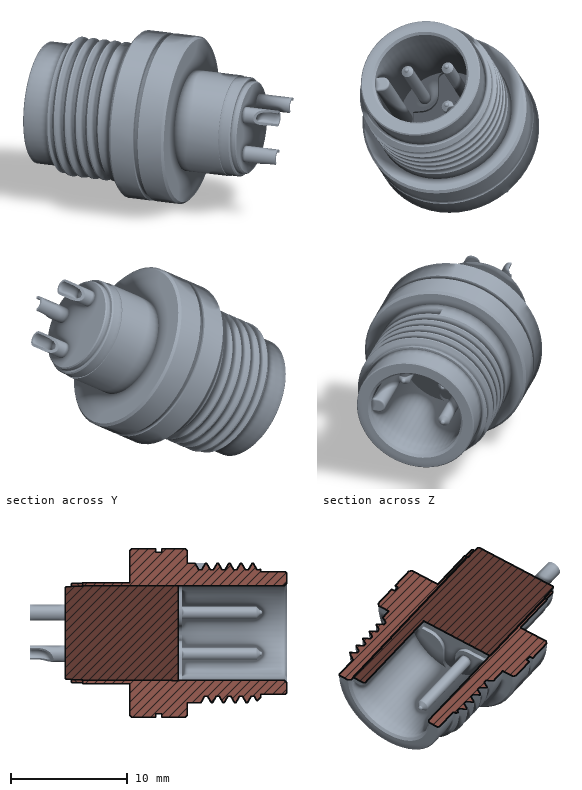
import cadquery as cq
import math


bore_radius = 4.05
bore_chamfer = 0.2
nose_radius = 5.27
nose_chamfer = 0.1
nose_length = 2.2
flange_radius = 7.25
flange_start = 8.5
flange_end = 13.5
flange_chamfer = 0.2
flange_groove_start = 10.75
flange_groove_width = 0.45
flange_groove_depth = 0.3
neck_radius = 4.36
shell_length = 17.5

thread_radius = 6.0
thread_pitch = 1.0
thread_depth = 0.54
thread_root_width = thread_pitch / 4
thread_half_angle = math.radians(30)
thread_lead_radius = 5.5
thread_end = 7.42
thread_turns = 6
thread_overcut = 0.05

ring_radius = 4.29
ring_length = 1.0
ring_chamfer = 0.1

carrier_front = 9.0
carrier_end = 19.0
carrier_chamfer = 0.1
carrier_tail_radius = 4.0
recess_depth = 0.3
recess_arm_width = 1.29
recess_corner_radius = 1.4
recess_tip_radius = 0.6
key_front = 0.5
key_tip_offset = 2.87
key_width = 1.24
key_edge_radius = 0.15

pin_offset = 2.5 * math.sin(math.radians(45))
pin_radius = 0.51
pin_tip = 2.1
pin_tip_cone_length = 0.3
pin_tip_radius = 0.2
shank_radius = 0.7
shank_start = 15.0
shank_end = 22.0
cup_bore_radius = 0.5
cup_bore_start = 20.0
cup_ramp_radius = 2.0
cup_ramp_end = 21.53
pin_places = [
    (pin_offset, pin_offset, -45),
    (-pin_offset, pin_offset, 180),
    (-pin_offset, -pin_offset, -45),
]


def cylinder(start, end, radius):
    """Cylinder on the X axis."""
    return cq.Workplane("YZ", origin=(start, 0, 0)).circle(radius).extrude(end - start)


def revolved(profile):
    """Solid turned about X from (x, radius) points."""
    return cq.Workplane("XY").polyline(profile).close().revolve(360, (0, 0, 0), (1, 0, 0))


def make_thread_groove():
    """Helical groove with flat root, ending on the +Z side at thread_end."""
    root_radius = thread_radius - thread_depth
    outer_radius = thread_radius + thread_overcut
    half_root = thread_root_width / 2
    half_mouth = half_root + (outer_radius - root_radius) * math.tan(thread_half_angle)
    length = thread_turns * thread_pitch
    path = cq.Wire.makeHelix(thread_pitch, length, thread_radius)
    groove = (
        cq.Workplane("XZ")
        .polyline([
            (root_radius, -half_root),
            (outer_radius, -half_mouth),
            (outer_radius, half_mouth),
            (root_radius, half_root),
        ])
        .close()
        .sweep(cq.Workplane(path), isFrenet=True)
    )
    groove = groove.rotate((0, 0, 0), (1, 1, 1), 120)
    groove = groove.rotate((0, 0, 0), (1, 0, 0), 90)
    return groove.translate((thread_end - length, 0, 0))


def make_shell():
    groove_end = flange_groove_start + flange_groove_width
    groove_radius = flange_radius - flange_groove_depth
    body = revolved([
        (0, bore_radius + bore_chamfer),
        (0, nose_radius - nose_chamfer),
        (nose_chamfer, nose_radius),
        (nose_length, nose_radius),
        (nose_length, thread_lead_radius),
        (nose_length + thread_radius - thread_lead_radius, thread_radius),
        (flange_start, thread_radius),
        (flange_start, flange_radius - flange_chamfer),
        (flange_start + flange_chamfer, flange_radius),
        (flange_groove_start, flange_radius),
        (flange_groove_start, groove_radius),
        (groove_end, groove_radius),
        (groove_end, flange_radius),
        (flange_end - flange_chamfer, flange_radius),
        (flange_end, flange_radius - flange_chamfer),
        (flange_end, neck_radius),
        (shell_length, neck_radius),
        (shell_length, bore_radius),
        (bore_chamfer, bore_radius),
    ])
    return body.cut(make_thread_groove())


def make_ring():
    ring_end = shell_length + ring_length
    return revolved([
        (shell_length, carrier_tail_radius),
        (shell_length, ring_radius),
        (ring_end - ring_chamfer, ring_radius),
        (ring_end, ring_radius - ring_chamfer),
        (ring_end, carrier_tail_radius),
    ])


def make_key():
    """Coding key on the +Y side of the bore, with a round tip toward the axis."""
    length = carrier_front - key_front
    straight_start = key_tip_offset + key_width / 2
    key = (
        cq.Workplane("YZ", origin=(key_front, 0, 0))
        .moveTo(nose_radius, -key_width / 2)
        .lineTo(straight_start, -key_width / 2)
        .threePointArc((key_tip_offset, 0), (straight_start, key_width / 2))
        .lineTo(nose_radius, key_width / 2)
        .close()
        .extrude(length)
        .faces("<X")
        .fillet(key_edge_radius)
    )
    return key.intersect(cylinder(key_front, carrier_front, bore_radius))


def make_cross_recess():
    """Cross with rounded inner corners; three arms reach the rim and the +Y arm stops at the key."""
    def arm_pair(length_y, length_z):
        return (
            cq.Workplane("YZ", origin=(carrier_front, 0, 0))
            .rect(length_y, length_z)
            .extrude(recess_depth)
        )

    span = 2 * bore_radius
    cross = arm_pair(span, recess_arm_width).union(arm_pair(recess_arm_width, span))
    half_arm = recess_arm_width / 2
    inner_corners = cq.selectors.BoxSelector(
        (carrier_front - recess_depth, -2 * half_arm, -2 * half_arm),
        (carrier_front + 2 * recess_depth, 2 * half_arm, 2 * half_arm),
    )
    cross = cross.edges("|X").edges(inner_corners).fillet(recess_corner_radius)
    cross = cross.faces("<Y or <Z or >Z").edges("|X").fillet(recess_tip_radius)
    beyond_key = cq.Workplane("XY").box(
        recess_depth, bore_radius, span, centered=(False, False, True)
    ).translate((carrier_front, key_tip_offset, 0))
    return cross.cut(beyond_key)


def make_carrier(pins):
    carrier = cylinder(carrier_front, shell_length, bore_radius)
    carrier = carrier.union(cylinder(shell_length, carrier_end, carrier_tail_radius))
    carrier = carrier.faces(">X").chamfer(carrier_chamfer)
    carrier = carrier.cut(make_cross_recess()).union(make_key())
    for pin in pins:
        carrier = carrier.cut(pin)
    return carrier


def make_pin(y, z, opening_angle):
    """Pin with a domed tip in front and a half-open solder cup behind."""
    dome_end = pin_tip + pin_tip_radius
    dome_middle_radius = pin_tip_radius * math.sin(math.radians(45))
    pin = (
        cq.Workplane("XY")
        .moveTo(pin_tip, 0)
        .threePointArc((dome_end - dome_middle_radius, dome_middle_radius), (dome_end, pin_tip_radius))
        .lineTo(dome_end + pin_tip_cone_length, pin_radius)
        .lineTo(shank_start, pin_radius)
        .lineTo(shank_start, shank_radius)
        .lineTo(shank_end, shank_radius)
        .lineTo(shank_end, 0)
        .close()
        .revolve(360, (0, 0, 0), (1, 0, 0))
    )
    side = 2 * shank_radius
    arc_angle = math.acos(1 - side / cup_ramp_radius)
    half_angle = arc_angle / 2
    arc_middle = (
        cup_ramp_end - cup_ramp_radius * math.sin(half_angle),
        cup_ramp_radius * (1 - math.cos(half_angle)),
    )
    arc_outer = (cup_ramp_end - cup_ramp_radius * math.sin(arc_angle), side)
    opening = (
        cq.Workplane("XY")
        .moveTo(*arc_outer)
        .threePointArc(arc_middle, (cup_ramp_end, 0))
        .lineTo(shank_end, 0)
        .lineTo(shank_end, side)
        .close()
        .extrude(shank_radius, both=True)
    )
    pin = pin.cut(opening).cut(cylinder(cup_bore_start, shank_end, cup_bore_radius))
    return pin.rotate((0, 0, 0), (1, 0, 0), opening_angle).translate((0, y, z))


pins = [make_pin(y, z, opening_angle) for y, z, opening_angle in pin_places]
shell = make_shell()
ring = make_ring()
carrier = make_carrier(pins)

result = cq.Compound.makeCompound([
    shell.solids().val(),
    ring.val(),
    carrier.solids().val(),
    *[pin.solids().val() for pin in pins],
])